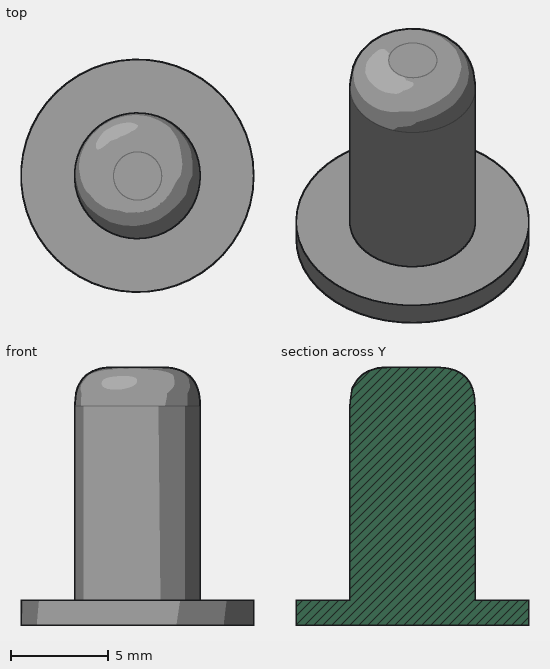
import cadquery as cq

total_height = 13.3
flange_diameter = 12.0
flange_thickness = 1.3
pin_diameter = 6.48
tip_setback = 2.0

flange_radius = flange_diameter / 2
pin_radius = pin_diameter / 2

tip_start = (pin_radius, total_height - tip_setback)
tip_corner = (pin_radius, total_height)
tip_end = (pin_radius - tip_setback, total_height)

half_section = (
    cq.Workplane("XZ")
    .moveTo(0, 0)
    .lineTo(flange_radius, 0)
    .lineTo(flange_radius, flange_thickness)
    .lineTo(pin_radius, flange_thickness)
    .lineTo(*tip_start)
    .bezier([tip_start, tip_corner, tip_end])
    .lineTo(0, total_height)
    .close()
)

result = half_section.revolve(360, (0, 0, 0), (0, 1, 0))